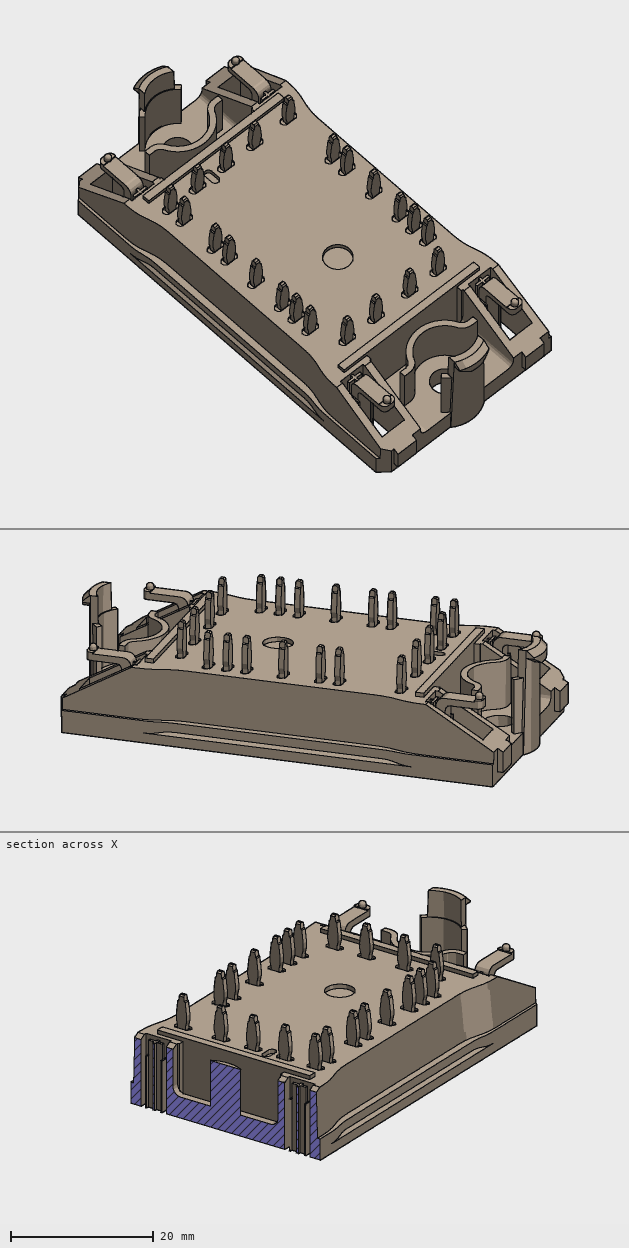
import cadquery as cq
import math

body_half_x = 32.1
body_half_y = 32.5 / 2
plate_half_x = 19.15
plate_half_y = 13.55
plate_bottom_z = 0.0
skirt_bottom_z = 0.15
skirt_top_z = 3.5
deck_z = 11.1
pin_top_z = 16.2

end_wall_y = 15.8
middle_wall_y = 14.65
bend_outer_x = 21.15
bend_inner_x = 13.95
wall_draft = 1.5
slope_start_x = 21.9
slope_angle = 30.0
corner_cut_x = 1.45
corner_cut_y = 1.65

recess_outer_x = 19.9
recess_inner_x = 15.4
recess_floor_z = 1.65
recess_depth = 0.5

screw_x = 27.5
hole_diameter = 4.3
well_half_y = 8.95
well_fillet = 1.2
well_inner_x = 21.6
slot_inner_x = 20.7
slot_half_y = 8.7
pocket_outer_x = 30.0
pocket_inner_x = 21.5
pocket_width = 4.3
arm_y = 12.3
tab_end_x = 32.9
tab_bottom_z = 1.65
tab_width = 3.55

guard_radius = 5.0
guard_thickness = 0.95
guard_bend_radius = 1.7
guard_end_x = 26.25
guard_end_y = 7.05
guard_top_z = 10.6

post_inner_radius = 4.7
post_outer_radius = 5.7
post_half_y_bottom = 3.2
post_half_y_top = 2.8
post_top_z = 15.8
wing_inner_radius = 4.6
wing_outer_radius = 5.4
wing_angle = 49.0
wing_top_z = 11.7
hook_radius = 34.2 - screw_x
hook_side_z = 14.65
hook_bottom_z = 13.55
hook_tip_half_y = 1.0
hook_chamfer = 0.95

arm_width = 2.4
arm_tip_x = 29.5
arm_top_z = 11.5
arm_thickness = 1.0
arm_back_x = 22.7
arm_leg_thickness = 1.4
arm_bend_radius = 1.2
arm_inner_radius = 0.8
arm_pad_inner_x = 28.4
arm_pad_top_z = 11.7
knob_x = 28.7
knob_diameter = 1.1
knob_top_z = 12.6
cheek_outer_x = 24.4
cheek_spread = 2.9
cheek_top_z = 8.2
rib_thickness = 0.4
cross_rib_x = 22.1
rib_top_z = 10.6

ridge_outer_x = slot_inner_x
ridge_inner_x = 19.5
ridge_half_y = 13.05
ridge_top_z = 11.7
round_recess_x = 5.5
deck_recess_depth = 0.7
oblong_recess_x = -16.8
oblong_recess_y = -3.4
oblong_length = 2.7
oblong_width = 1.3

pin_slot_length = 2.75
pin_slot_width = 1.3
pin_slot_depth = 0.35
pin_thickness = 0.8
pin_foot_width = 1.4
pin_belly_width = 1.8
pin_shoulder_width = 1.3
pin_neck_width = 0.95
pin_tip_width = 0.7
pin_tip_bevel = 0.2
pin_belly_low_z = 12.3
pin_belly_high_z = 13.1
pin_shoulder_z = 15.2
pin_neck_z = 15.3
pin_foot_height = 0.35
pin_row_y = 11.35
front_row_x = [-16.8, -14.0, -7.6, -4.8, 0.75, 6.2, 9.0, 11.9]
back_row_x = [-16.8, -7.6, -4.8, 0.75, 6.2, 9.0, 11.9]
left_column_x = -16.8
left_column_y = [4.85, -0.7, -6.15]
right_column_x = 16.75
right_column_y = [8.75, 3.3, -3.2, -8.75]


def block(x0, x1, y0, y1, z0, z1):
    size = (x1 - x0, y1 - y0, z1 - z0)
    return cq.Workplane("XY").box(*size, centered=False).translate((x0, y0, z0))


def both_sides_y(shape):
    return shape.union(shape.mirror("XZ"))


def extrude_along_y(points, half_width):
    return cq.Workplane("XZ").polyline(points).close().extrude(half_width, both=True)


def extrude_along_x(points, half_length):
    return cq.Workplane("YZ").polyline(points).close().extrude(half_length, both=True)


def s_bend(path, start, end):
    """Two equal tangent arcs that leave and arrive parallel to X."""
    length = end[0] - start[0]
    offset = end[1] - start[1]
    half_turn = math.atan(abs(offset / length))
    radius = (length**2 + offset**2) / (4 * abs(offset))
    dx = math.copysign(radius * math.sin(half_turn), length)
    dy = math.copysign(radius * (1 - math.cos(half_turn)), offset)
    middle = ((start[0] + end[0]) / 2, (start[1] + end[1]) / 2)
    path = path.threePointArc((start[0] + dx, start[1] + dy), middle)
    return path.threePointArc((end[0] - dx, end[1] - dy), end)


def slope_z(x):
    return deck_z - (x - slope_start_x) * math.tan(math.radians(slope_angle))


def ring(inner, outer, z0, z1):
    """Ring around the screw axis of the -X end."""
    plane = cq.Workplane("XY", origin=(-screw_x, 0, z0))
    return plane.circle(outer).circle(inner).extrude(z1 - z0)


def skirt():
    base = block(-body_half_x, body_half_x, -body_half_y, body_half_y, skirt_bottom_z, skirt_top_z)
    outer_y = body_half_y + 0.7
    recess_y = body_half_y - recess_depth
    plan = cq.Workplane("XY", origin=(0, 0, recess_floor_z)).moveTo(-recess_outer_x, outer_y)
    plan = plan.lineTo(-recess_outer_x, body_half_y)
    plan = s_bend(plan, (-recess_outer_x, body_half_y), (-recess_inner_x, recess_y))
    plan = plan.lineTo(recess_inner_x, recess_y)
    plan = s_bend(plan, (recess_inner_x, recess_y), (recess_outer_x, body_half_y))
    cutter = plan.lineTo(recess_outer_x, outer_y).close().extrude(skirt_top_z - recess_floor_z)
    sloped_floor = extrude_along_x(
        [
            (outer_y, recess_floor_z),
            (body_half_y, recess_floor_z),
            (recess_y, recess_floor_z + recess_depth),
            (recess_y, skirt_top_z),
            (outer_y, skirt_top_z),
        ],
        recess_outer_x,
    )
    return base.cut(both_sides_y(cutter.intersect(sloped_floor)))


def upper_body():
    far_x = body_half_x + 1.4
    plan = cq.Workplane("XY", origin=(0, 0, skirt_top_z)).moveTo(-far_x, -end_wall_y)
    plan = plan.lineTo(-bend_outer_x, -end_wall_y)
    plan = s_bend(plan, (-bend_outer_x, -end_wall_y), (-bend_inner_x, -middle_wall_y))
    plan = plan.lineTo(bend_inner_x, -middle_wall_y)
    plan = s_bend(plan, (bend_inner_x, -middle_wall_y), (bend_outer_x, -end_wall_y))
    plan = plan.lineTo(far_x, -end_wall_y).lineTo(far_x, end_wall_y).lineTo(bend_outer_x, end_wall_y)
    plan = s_bend(plan, (bend_outer_x, end_wall_y), (bend_inner_x, middle_wall_y))
    plan = plan.lineTo(-bend_inner_x, middle_wall_y)
    plan = s_bend(plan, (-bend_inner_x, middle_wall_y), (-bend_outer_x, end_wall_y))
    plan = plan.lineTo(-far_x, end_wall_y)
    block_body = plan.close().extrude(deck_z - skirt_top_z, taper=wall_draft)
    end_z = slope_z(body_half_x)
    profile = [
        (-body_half_x, skirt_top_z),
        (body_half_x, skirt_top_z),
        (body_half_x, end_z),
        (slope_start_x, deck_z),
        (-slope_start_x, deck_z),
        (-body_half_x, end_z),
    ]
    return block_body.intersect(extrude_along_y(profile, body_half_y))


def corner_cut():
    """Wedge that takes the -X, -Y corner off over the full height."""
    corner = (-body_half_x, -body_half_y)
    plan = cq.Workplane("XY").moveTo(*corner).lineTo(corner[0] + corner_cut_x, corner[1])
    return plan.lineTo(corner[0], corner[1] + corner_cut_y).close().extrude(deck_z)


def end_cuts():
    """Screw well, slot behind it, screw hole and arm pockets of the -X end."""
    far_x = -body_half_x - 0.7
    well = block(far_x, -well_inner_x, -well_half_y, well_half_y, skirt_top_z, deck_z + 0.7)
    well = well.edges("|X and <Z").fillet(well_fillet)
    slot = block(-well_inner_x, -slot_inner_x, -slot_half_y, slot_half_y, 0, deck_z + 0.7)
    hole = cq.Workplane("XY").center(-screw_x, 0).circle(hole_diameter / 2).extrude(deck_z)
    pocket_y = arm_y - pocket_width / 2
    pocket = block(-pocket_outer_x, -pocket_inner_x, pocket_y, pocket_y + pocket_width, 0, deck_z + 0.7)
    return well.union(slot).union(hole).union(both_sides_y(pocket)).union(corner_cut())


def end_tabs():
    inner_x = body_half_x - 0.7
    profile = [
        (-inner_x, tab_bottom_z),
        (-tab_end_x, tab_bottom_z),
        (-tab_end_x, slope_z(tab_end_x)),
        (-inner_x, slope_z(inner_x)),
    ]
    return both_sides_y(extrude_along_y(profile, tab_width / 2).translate((0, arm_y, 0)))


def screw_guard():
    """Wall around the screw that bends outward and ends in two straight legs."""
    bend_x = -guard_end_x + guard_bend_radius
    reach = guard_radius + guard_bend_radius
    bend_y = math.sqrt(reach**2 - (bend_x + screw_x) ** 2)
    direction = math.atan2(bend_y, bend_x + screw_x)
    join_x = -screw_x + guard_radius * math.cos(direction)
    join_y = guard_radius * math.sin(direction)
    middle_angle = direction / 2 + math.pi
    mid_x = bend_x + guard_bend_radius * math.cos(middle_angle)
    mid_y = bend_y + guard_bend_radius * math.sin(middle_angle)
    path = (
        cq.Workplane("XY")
        .moveTo(-guard_end_x, -guard_end_y)
        .lineTo(-guard_end_x, -bend_y)
        .threePointArc((mid_x, -mid_y), (join_x, -join_y))
        .threePointArc((-screw_x + guard_radius, 0), (join_x, join_y))
        .threePointArc((mid_x, mid_y), (-guard_end_x, bend_y))
        .lineTo(-guard_end_x, guard_end_y)
    )
    section = cq.Workplane("XZ", origin=(-guard_end_x, -guard_end_y, 0))
    section = section.center(0, (skirt_top_z + guard_top_z) / 2)
    return section.rect(guard_thickness, guard_top_z - skirt_top_z).sweep(path)


def snap_post():
    post = ring(post_inner_radius, post_outer_radius, skirt_bottom_z, post_top_z)
    front = [
        (-post_half_y_bottom, skirt_bottom_z),
        (post_half_y_bottom, skirt_bottom_z),
        (post_half_y_top, post_top_z),
        (-post_half_y_top, post_top_z),
    ]
    keep_end = block(-34.2, -screw_x, -body_half_y, body_half_y, 0, pin_top_z)
    post = post.intersect(extrude_along_x(front, 34.2)).intersect(keep_end)

    wing = ring(wing_inner_radius, wing_outer_radius, skirt_top_z, wing_top_z)
    reach = 2 * wing_outer_radius
    wing_y = reach * math.tan(math.radians(wing_angle))
    sector = cq.Workplane("XY").polyline(
        [(-screw_x, 0), (-screw_x - reach, wing_y), (-screw_x - reach, -wing_y)]
    )
    wing = wing.intersect(sector.close().extrude(pin_top_z))

    hook = ring(post_inner_radius, hook_radius, hook_bottom_z, post_top_z)
    hook = hook.faces(">Z").edges("%CIRCLE").edges(cq.selectors.RadiusNthSelector(-1)).chamfer(hook_chamfer)
    front = [
        (-hook_tip_half_y, hook_bottom_z),
        (hook_tip_half_y, hook_bottom_z),
        (post_half_y_top, hook_side_z),
        (post_half_y_top, post_top_z),
        (-post_half_y_top, post_top_z),
        (-post_half_y_top, hook_side_z),
    ]
    hook = hook.intersect(extrude_along_x(front, 34.2)).intersect(keep_end)
    return post.union(wing).union(hook)


def spring_arm():
    """Arm that rises from a pocket and bends outward, with its knob and root ribs."""
    bottom_z = arm_top_z - arm_thickness
    front_x = arm_back_x + arm_leg_thickness
    beam = block(-arm_tip_x, -arm_back_x, -arm_width / 2, arm_width / 2, bottom_z, arm_top_z)
    leg = block(-front_x, -arm_back_x, -arm_width / 2, arm_width / 2, skirt_bottom_z, arm_top_z)
    arm = beam.union(leg)
    arm = arm.edges("|Y and >X and >Z").fillet(arm_bend_radius)
    arm = arm.edges(cq.selectors.NearestToPointSelector((-front_x, 0, bottom_z))).fillet(arm_inner_radius)
    pad = block(-arm_tip_x, -arm_pad_inner_x, -arm_width / 2, arm_width / 2, bottom_z, arm_pad_top_z)
    arm = arm.union(pad).edges("|Z and <X").fillet(arm_width / 3)

    radius = knob_diameter / 2
    knob = cq.Workplane("XY", origin=(-knob_x, 0, arm_pad_top_z)).circle(radius)
    knob = knob.extrude(knob_top_z - arm_pad_top_z).faces(">Z").edges().fillet(radius * 0.9)

    cheek = block(
        -cheek_outer_x, -pocket_inner_x, arm_width / 2, cheek_spread / 2, skirt_bottom_z, cheek_top_z
    )
    half = rib_thickness / 2
    rib = block(-front_x, -pocket_inner_x, -half, half, skirt_bottom_z, rib_top_z)
    cross_rib = block(
        -cross_rib_x - half, -cross_rib_x + half, -arm_width / 2, arm_width / 2, skirt_bottom_z, rib_top_z
    )
    arm = arm.union(knob).union(both_sides_y(cheek)).union(rib).union(cross_rib)
    return arm.translate((0, arm_y, 0))


def deck_ridge():
    return block(-ridge_outer_x, -ridge_inner_x, -ridge_half_y, ridge_half_y, deck_z, ridge_top_z)


def pin():
    widths = [
        (pin_foot_width, deck_z - pin_slot_depth),
        (pin_foot_width, deck_z + pin_foot_height),
        (pin_belly_width, pin_belly_low_z),
        (pin_belly_width, pin_belly_high_z),
        (pin_shoulder_width, pin_shoulder_z),
        (pin_neck_width, pin_neck_z),
        (pin_tip_width, pin_top_z),
    ]
    right = [(width / 2, z) for width, z in widths]
    left = [(-width / 2, z) for width, z in reversed(widths)]
    blade = extrude_along_x(right + left, pin_thickness / 2)
    return blade.edges("|Y and >Z").chamfer(pin_tip_bevel)


def pin_places():
    places = [(x, -pin_row_y) for x in front_row_x]
    places += [(x, pin_row_y) for x in back_row_x]
    places += [(left_column_x, y) for y in left_column_y]
    places += [(right_column_x, y) for y in right_column_y]
    return places


def deck_recesses():
    top = cq.Workplane("XY", origin=(0, 0, deck_z))
    slots = top.pushPoints(pin_places()).slot2D(pin_slot_length, pin_slot_width, 90).extrude(-pin_slot_depth)
    dimple = top.center(round_recess_x, 0).circle(hole_diameter / 2).extrude(-deck_recess_depth)
    oblong = top.center(oblong_recess_x, oblong_recess_y).slot2D(oblong_length, oblong_width)
    return slots.union(dimple).union(oblong.extrude(-deck_recess_depth))


base_plate = block(
    -plate_half_x, plate_half_x, -plate_half_y, plate_half_y, plate_bottom_z, skirt_bottom_z + 0.7
)
result = skirt().union(upper_body()).union(base_plate)
cuts = end_cuts()
result = result.cut(cuts).cut(cuts.mirror("YZ")).cut(deck_recesses())

end_features = end_tabs().union(screw_guard()).union(snap_post()).union(deck_ridge())
end_features = end_features.union(both_sides_y(spring_arm()))
result = result.union(end_features).union(end_features.mirror("YZ"))

for x, y in pin_places():
    result = result.union(pin().translate((x, y, 0)))